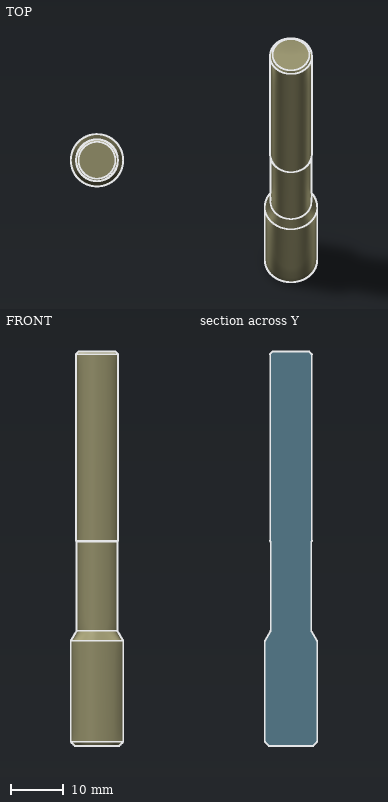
import cadquery as cq
import math

total_length = 75.0
head_diameter = 10.0
shank_diameter = 8.0
neck_diameter = 7.8
head_length = 20.0
shank_length = 36.0
head_chamfer = 0.8
shank_chamfer = 0.5
shoulder_half_angle = 30.0

head_radius = head_diameter / 2
shank_radius = shank_diameter / 2
neck_radius = neck_diameter / 2
cone_slope = math.tan(math.radians(shoulder_half_angle))
shoulder_top = head_length + (head_radius - neck_radius) / cone_slope
shank_bottom = total_length - shank_length
neck_top = shank_bottom - (shank_radius - neck_radius) / cone_slope


def turned_profile():
    """Half section of the pin, radius along X and height along Z."""
    return (
        cq.Workplane("XZ")
        .moveTo(0, 0)
        .lineTo(head_radius - head_chamfer, 0)
        .lineTo(head_radius, head_chamfer)
        .lineTo(head_radius, head_length)
        .lineTo(neck_radius, shoulder_top)
        .lineTo(neck_radius, neck_top)
        .lineTo(shank_radius, shank_bottom)
        .lineTo(shank_radius, total_length - shank_chamfer)
        .lineTo(shank_radius - shank_chamfer, total_length)
        .lineTo(0, total_length)
        .close()
    )


result = turned_profile().revolve(360, (0, 0, 0), (0, 1, 0))